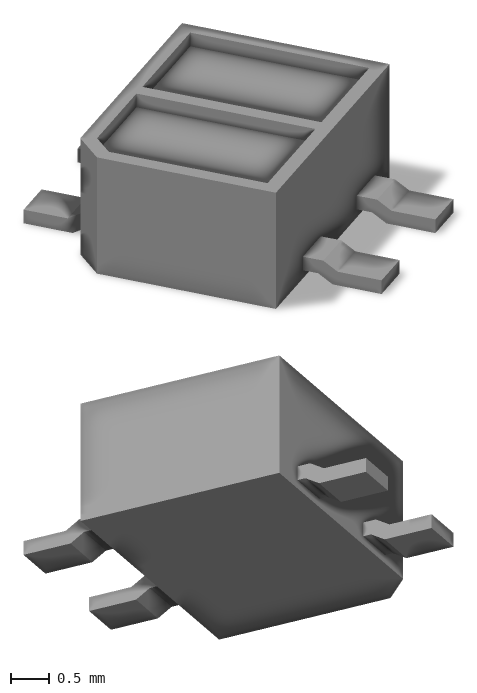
import cadquery as cq

BODY_LENGTH = 2.9
BODY_WIDTH = 3.8
BODY_HEIGHT = 1.7
CORNER_CUT = 0.4

WALL = 0.2
WINDOW_DEPTH = 0.2
WINDOW_WIDTH = (BODY_WIDTH - 3 * WALL) / 2
WINDOW_CORNER_CUT = CORNER_CUT - WALL * (2 - 2**0.5)

OVERALL_LENGTH = 5.0
LEFT_REACH = 1.0
RIGHT_REACH = OVERALL_LENGTH - BODY_LENGTH - LEFT_REACH
LEAD_WIDTH = 0.6
LEAD_THICKNESS = 0.2
LEAD_RISE = 0.12
FOOT_LENGTH = 0.615
BEND_LENGTH = 0.2
UNDERSIDE_SHIFT = 0.07
LEAD_CENTERS_Y = (1.1, -0.7)

BODY_LEFT = LEFT_REACH - OVERALL_LENGTH / 2
BODY_RIGHT = BODY_LEFT + BODY_LENGTH
BODY_CENTER_X = (BODY_LEFT + BODY_RIGHT) / 2


def block(length, width, height, center_y, base_z):
    """Block centered on the body in X, standing on base_z."""
    return cq.Workplane("XY").box(length, width, height, centered=(True, True, False)).translate(
        (BODY_CENTER_X, center_y, base_z)
    )


def lead(body_face_x, reach, outward, center_y):
    """Lead reaching from a body side; outward is -1 for left and +1 for right."""
    bend_end = FOOT_LENGTH + BEND_LENGTH
    profile = [
        (0, 0),
        (FOOT_LENGTH + UNDERSIDE_SHIFT, 0),
        (bend_end + UNDERSIDE_SHIFT, LEAD_RISE),
        (reach, LEAD_RISE),
        (reach, LEAD_RISE + LEAD_THICKNESS),
        (bend_end, LEAD_RISE + LEAD_THICKNESS),
        (FOOT_LENGTH, LEAD_THICKNESS),
        (0, LEAD_THICKNESS),
    ]
    points = [(body_face_x + outward * (reach - inward), z) for inward, z in profile]
    return (
        cq.Workplane("XZ", origin=(0, center_y, 0))
        .polyline(points)
        .close()
        .extrude(LEAD_WIDTH / 2, both=True)
    )


result = block(BODY_LENGTH, BODY_WIDTH, BODY_HEIGHT, 0, 0)
result = result.edges("|Z and <X and <Y").chamfer(CORNER_CUT)

window_length = BODY_LENGTH - 2 * WALL
window_offset_y = (WINDOW_WIDTH + WALL) / 2
window_floor_z = BODY_HEIGHT - WINDOW_DEPTH
back_window = block(window_length, WINDOW_WIDTH, WINDOW_DEPTH, window_offset_y, window_floor_z)
front_window = block(window_length, WINDOW_WIDTH, WINDOW_DEPTH, -window_offset_y, window_floor_z)
front_window = front_window.edges("|Z and <X and <Y").chamfer(WINDOW_CORNER_CUT)
result = result.cut(back_window).cut(front_window)

for lead_y in LEAD_CENTERS_Y:
    result = result.union(lead(BODY_LEFT, LEFT_REACH, -1, lead_y))
    result = result.union(lead(BODY_RIGHT, RIGHT_REACH, 1, lead_y))